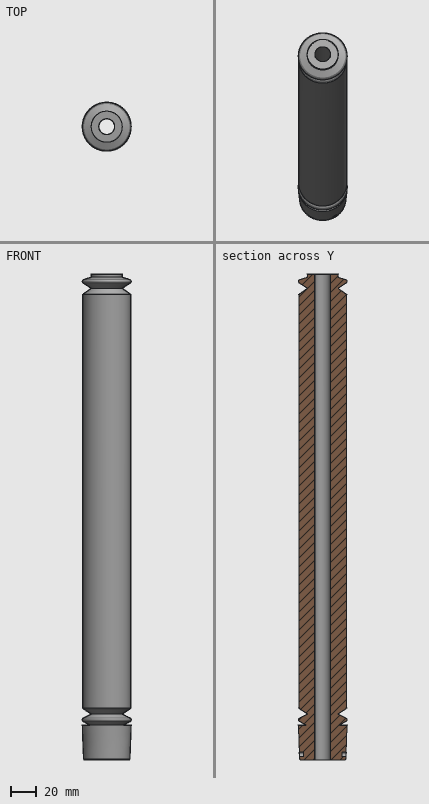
import cadquery as cq
import math

total_height = 376.7
rim_diameter = 38.0
body_diameter = 37.3
bore_diameter = 12.0

sleeve_top = 27.0
lower_rim_height = 31.3
lower_neck_height = 35.8
body_bottom = 39.5
body_top = 361.5
upper_neck_height = 366.0
upper_rim_height = 371.0
collar_bottom = 374.5

sleeve_top_diameter = 38.0
sleeve_bottom_diameter = 36.0
sleeve_chamfer = 0.8
sleeve_neck_diameter = 25.5
lower_neck_diameter = 24.0
upper_neck_diameter = 24.0
collar_diameter = 24.0
body_edge_chamfer = 0.8
rim_nose_radius = 1.5

cross_hole_diameter = 3.0
cross_hole_height = 4.5
cross_hole_depth = 3.0

rim_radius = rim_diameter / 2
body_radius = body_diameter / 2
body_edge_radius = body_radius - body_edge_chamfer
sleeve_bottom_radius = sleeve_bottom_diameter / 2


def tangent_point(radius, height, rim_height):
    """Point where a line from (radius, height) touches the round nose of a rim."""
    center_radius = rim_radius - rim_nose_radius
    across = center_radius - radius
    along = rim_height - height
    distance = math.hypot(across, along)
    side = math.copysign(1, along)
    line_angle = math.atan2(along, across)
    normal_angle = line_angle - side * math.acos(-rim_nose_radius / distance)
    return (
        center_radius + rim_nose_radius * math.cos(normal_angle),
        rim_height + rim_nose_radius * math.sin(normal_angle),
    )


def add_rim(profile, rim_height, start, end):
    """Continue the profile from start over a round-nosed rim to end, both (radius, height)."""
    return (
        profile.lineTo(*tangent_point(*start, rim_height))
        .threePointArc((rim_radius, rim_height), tangent_point(*end, rim_height))
        .lineTo(*end)
    )


def make_turned_body():
    """Revolve the outer profile: sleeve, two rims, long body and top collar."""
    sleeve_neck = (sleeve_neck_diameter / 2, sleeve_top)
    lower_neck = (lower_neck_diameter / 2, lower_neck_height)
    upper_neck = (upper_neck_diameter / 2, upper_neck_height)
    collar_base = (collar_diameter / 2, collar_bottom)

    profile = (
        cq.Workplane("XZ")
        .lineTo(sleeve_bottom_radius - sleeve_chamfer, 0)
        .lineTo(sleeve_bottom_radius, sleeve_chamfer)
        .lineTo(sleeve_top_diameter / 2, sleeve_top)
        .lineTo(*sleeve_neck)
    )
    profile = add_rim(profile, lower_rim_height, sleeve_neck, lower_neck)
    profile = (
        profile.lineTo(body_edge_radius, body_bottom)
        .lineTo(body_radius, body_bottom + body_edge_chamfer)
        .lineTo(body_radius, body_top - body_edge_chamfer)
        .lineTo(body_edge_radius, body_top)
        .lineTo(*upper_neck)
    )
    profile = add_rim(profile, upper_rim_height, upper_neck, collar_base)
    profile = profile.lineTo(collar_diameter / 2, total_height).lineTo(0, total_height)
    return profile.close().revolve(360, (0, 0), (0, 1))


def make_cross_holes():
    """Two small blind holes along X, on opposite sides of the sleeve."""
    floor_offset = sleeve_bottom_radius - cross_hole_depth
    hole = (
        cq.Workplane("YZ", origin=(floor_offset, 0, cross_hole_height))
        .circle(cross_hole_diameter / 2)
        .extrude(rim_radius - floor_offset)
    )
    return hole.union(hole.mirror("YZ"))


def make_bore():
    """Axial hole from end to end."""
    return cq.Workplane("XY").circle(bore_diameter / 2).extrude(total_height)


result = make_turned_body().cut(make_cross_holes()).cut(make_bore())